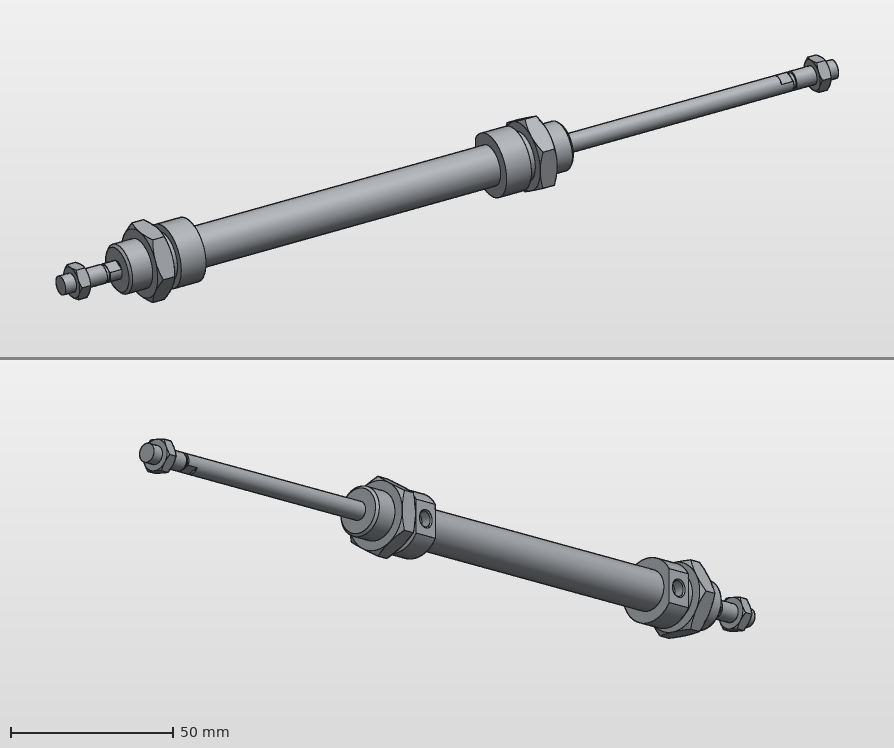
import cadquery as cq
import math


rod_length = 276.0
rod_diameter = 6.0
stud_length = 15.0
groove_width = 1.0
groove_diameter = 5.0
wrench_flat_length = 4.1
wrench_flat_size = 4.7
rod_turn = 23.0

barrel_diameter = 13.2
cap_diameter = 20.7
cap_length = 8.8
cap_flat_offset = 8.8
neck_diameter = 16.0
neck_length = 16.8
neck_chamfer = 0.8
front_cap_face = -101.0
rear_cap_face = 24.0
port_diameter = 5.0
port_mouth_diameter = 5.8
port_mouth_angle = 45.0
port_depth = 4.0

mount_nut_across_flats = 22.0
mount_nut_thickness = 6.0
front_mount_nut_start = -109.8
rear_mount_nut_start = 26.8

rod_nut_across_flats = 10.0
rod_nut_thickness = 4.0
rod_nut_setback = 4.0

half_hex_angle = 30.0
nut_corner_angle = 30.0


def cylinder_y(diameter, start, length):
    """Solid cylinder along +Y beginning at y = start."""
    plane = cq.Plane(origin=(0, start, 0), xDir=(1, 0, 0), normal=(0, 1, 0))
    return cq.Workplane(plane).circle(diameter / 2).extrude(length)


def make_rod():
    """Through rod with a stud, an undercut and two wrench flats at each end."""
    half_length = rod_length / 2
    groove_outer = half_length - stud_length
    groove_inner = groove_outer - groove_width
    rod = cylinder_y(rod_diameter, -half_length, rod_length)
    for side in (-1, 1):
        groove_middle = side * (groove_outer + groove_inner) / 2
        groove_start = groove_middle - groove_width / 2
        groove = cylinder_y(2 * rod_diameter, groove_start, groove_width).cut(
            cylinder_y(groove_diameter, groove_start, groove_width)
        )
        rod = rod.cut(groove)
        flat_middle = side * (groove_inner - wrench_flat_length / 2)
        for face in (-1, 1):
            cutter = cq.Workplane("XY").box(rod_diameter, wrench_flat_length, rod_diameter).translate(
                (0, flat_middle, face * (wrench_flat_size + rod_diameter) / 2)
            )
            rod = rod.cut(cutter)
    return rod.rotate((0, 0, 0), (0, 1, 0), rod_turn)


def make_cap(start):
    """End cap with a flat on -X."""
    cap = cylinder_y(cap_diameter, start, cap_length)
    trim = cq.Workplane("XY").box(cap_diameter, cap_length, cap_diameter).translate(
        (-cap_flat_offset - cap_diameter / 2, start + cap_length / 2, 0)
    )
    return cap.cut(trim)


def make_port(start):
    """Blind port with a countersunk mouth in the flat of the cap that begins at y = start."""
    plane = cq.Plane(
        origin=(-cap_flat_offset, start + cap_length / 2, 0), xDir=(0, 1, 0), normal=(1, 0, 0)
    )
    mouth_depth = (port_mouth_diameter - port_diameter) / 2 / math.tan(math.radians(port_mouth_angle))
    bore = cq.Workplane(plane).circle(port_diameter / 2).extrude(port_depth)
    mouth = cq.Workplane(plane).circle(port_mouth_diameter / 2).extrude(mouth_depth, taper=port_mouth_angle)
    return bore.union(mouth)


def make_housing():
    """Barrel with caps, necks and ports, bored through for the rod."""
    barrel_length = rear_cap_face - front_cap_face
    housing = cylinder_y(barrel_diameter, front_cap_face, barrel_length)

    front_neck = cylinder_y(neck_diameter, front_cap_face - neck_length, neck_length)
    rear_neck = cylinder_y(neck_diameter, rear_cap_face, neck_length)
    housing = housing.union(front_neck.faces("<Y").chamfer(neck_chamfer))
    housing = housing.union(rear_neck.faces(">Y").chamfer(neck_chamfer))

    for start in (front_cap_face, rear_cap_face - cap_length):
        housing = housing.union(make_cap(start)).cut(make_port(start))
    return housing.cut(cylinder_y(rod_diameter, -rod_length / 2, rod_length))


def make_nut(across_flats, bore, thickness, start, turn):
    """Hex nut along Y with rounded corners; at zero turn its corners lie on +X and -X."""
    across_corners = across_flats / math.cos(math.radians(half_hex_angle))
    plane = cq.Plane(origin=(0, start, 0), xDir=(1, 0, 0), normal=(0, 1, 0))
    nut = cq.Workplane(plane).polygon(6, across_corners).extrude(thickness)

    flat_radius = across_flats / 2
    corner_radius = across_corners / 2
    rise = (corner_radius - flat_radius) * math.tan(math.radians(nut_corner_angle))
    end = start + thickness
    envelope = (
        cq.Workplane("XY")
        .moveTo(0, start)
        .lineTo(flat_radius, start)
        .lineTo(corner_radius, start + rise)
        .lineTo(corner_radius, end - rise)
        .lineTo(flat_radius, end)
        .lineTo(0, end)
        .close()
        .revolve(360, (0, 0, 0), (0, 1, 0))
    )
    nut = nut.intersect(envelope).cut(cylinder_y(bore, start, thickness))
    return nut.rotate((0, 0, 0), (0, 1, 0), turn)


rod = make_rod()
housing = make_housing()

mount_nuts = [
    make_nut(mount_nut_across_flats, neck_diameter, mount_nut_thickness, start, turn)
    for start, turn in ((front_mount_nut_start, 0), (rear_mount_nut_start, half_hex_angle))
]

rod_nut_starts = (
    -rod_length / 2 + rod_nut_setback,
    rod_length / 2 - rod_nut_setback - rod_nut_thickness,
)
rod_nuts = [
    make_nut(rod_nut_across_flats, rod_diameter, rod_nut_thickness, start, rod_turn + half_hex_angle)
    for start in rod_nut_starts
]

result = cq.Compound.makeCompound(
    [housing.val(), rod.val(), *[nut.val() for nut in mount_nuts], *[nut.val() for nut in rod_nuts]]
)